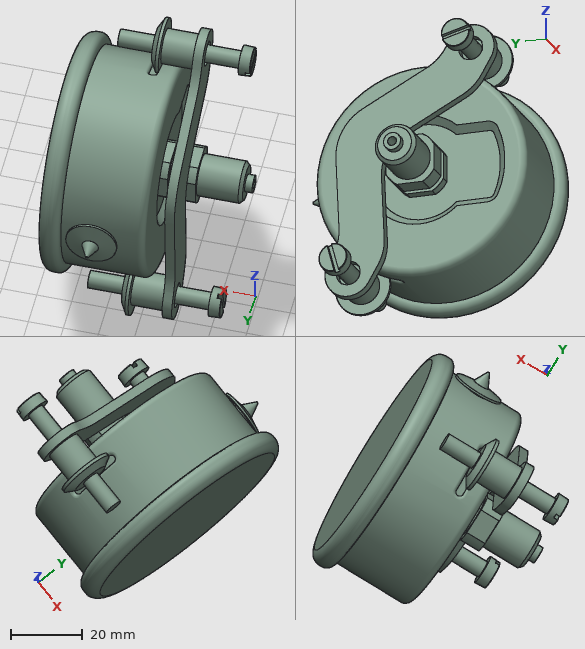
import cadquery as cq
import math


case_radius = 62.0 / 2
case_back_fillet = 1.95
bezel_radius = 68.0 / 2
bezel_back_x = 23.8
bezel_front_x = 30.0
bezel_back_fillet = 2.1
bezel_front_fillet = 3.05

recess_depth = 2.0
recess_hub_radius = 16.1
recess_slot_half_width = 12.0
recess_slot_end_radius = 24.8
recess_corner_radius = 3.5
recess_wall_angle = 45.0
recess_neck_radius = 0.6

stem_radius = 12.0 / 2
stem_chamfer = 1.0
stem_end_x = -21.85
tip_radius = 5.0 / 2
tip_end_x = -24.0
bore_diameter = 2.6
bore_depth = 9.4
nut_across_flats = 14.1
nut_corner_radius = 8.0
nut_back_x = -8.9
nut_front_x = -3.0
collar_back_x = -0.95

plug_x = 15.05
plug_stem_radius = 11.0 / 2
plug_stem_depth = 3.1
plug_disc_radius = 14.5 / 2
plug_rim_height = 0.6
plug_dome_height = 1.7
plug_cone_radius = 2.35
plug_point_radius = 0.6 / 2
plug_point_y = 36.75

screw_line_angle = 60.0
screw_along = 72.0 / 2
screw_out = 1.1
plate_back_x = -6.6
plate_front_x = -3.8
tab_radius = 6.9
arm_angle = 32.5
arm_width = 13.1
arm_inner_out = 11.05
bend_radius = 13.7
nose_radius = 14.8
plate_hole_diameter = 7.0

shank_radius = 5.0 / 2
shank_end_x = 18.5
head_back_radius = 8.2 / 2
head_front_radius = 8.55 / 2
head_back_x = -19.7
head_front_x = -16.4
head_chamfer = 0.15
driver_slot_width = 1.3
driver_slot_depth = 1.3
driver_slot_angle = 45.0
spacer_radius = 10.0 / 2
disc_radius = 8.0
disc_back_x = 5.6
disc_rim_width = 0.95
disc_front_x = 8.15
disc_front_radius = 5.2

case_slot_x = 7.05
case_slot_length = 15.9
case_slot_width = 2.2
case_slot_floor_radius = 60.0 / 2
case_slot_mouth_fillet = 0.95

screw_direction = cq.Vector(
    0, -math.cos(math.radians(screw_line_angle)), math.sin(math.radians(screw_line_angle))
)
SIDES = (1, -1)


def back_plane(x):
    """Plane across the gauge axis, facing -X, with local axes (along, out)."""
    return cq.Plane(origin=(x, 0, 0), xDir=screw_direction.toTuple(), normal=(-1, 0, 0))


def turned(points):
    """Solid of revolution about the X axis from an outline of (x, radius) points."""
    return cq.Workplane("XY").polyline(points).close().revolve(360, (0, 0, 0), (1, 0, 0))


def nut_block(back_x, front_x):
    """Square block whose corners are turned round."""
    length = front_x - back_x
    back_face = cq.Workplane("YZ", origin=(back_x, 0, 0))
    square = back_face.rect(nut_across_flats, nut_across_flats).extrude(length)
    blank = back_face.circle(nut_corner_radius).extrude(length)
    return square.intersect(blank)


def make_stem():
    body = turned([
        (tip_end_x, 0),
        (tip_end_x, tip_radius),
        (stem_end_x, tip_radius),
        (stem_end_x, stem_radius - stem_chamfer),
        (stem_end_x + stem_chamfer, stem_radius),
        (recess_depth, stem_radius),
        (recess_depth, 0),
    ])
    body = body.union(nut_block(nut_back_x, nut_front_x))
    body = body.union(nut_block(collar_back_x, recess_depth))
    bore = cq.Workplane("YZ", origin=(tip_end_x, 0, 0)).circle(bore_diameter / 2).extrude(bore_depth)
    return body.cut(bore)


def make_recess():
    """Keyhole pocket: a round hub with a slot towards -Y that ends on an arc."""
    corner_z = recess_slot_half_width - recess_corner_radius
    corner_reach = recess_slot_end_radius - recess_corner_radius
    corner_y = -math.sqrt(corner_reach**2 - corner_z**2)
    end_angle = math.atan2(corner_z, corner_y)
    middle_angle = (math.pi / 2 + end_angle) / 2
    middle_y = corner_y + recess_corner_radius * math.cos(middle_angle)
    middle_z = corner_z + recess_corner_radius * math.sin(middle_angle)
    end_y = recess_slot_end_radius * math.cos(end_angle)
    end_z = recess_slot_end_radius * math.sin(end_angle)
    slot = (
        cq.Workplane("YZ")
        .moveTo(0, -recess_slot_half_width)
        .lineTo(0, recess_slot_half_width)
        .lineTo(corner_y, recess_slot_half_width)
        .threePointArc((middle_y, middle_z), (end_y, end_z))
        .threePointArc((-recess_slot_end_radius, 0), (end_y, -end_z))
        .threePointArc((middle_y, -middle_z), (corner_y, -recess_slot_half_width))
        .close()
        .extrude(recess_depth, taper=recess_wall_angle)
    )
    hub = cq.Workplane("YZ").circle(recess_hub_radius).extrude(recess_depth, taper=recess_wall_angle)
    recess = hub.union(slot)
    neck_y = -math.sqrt(recess_hub_radius**2 - recess_slot_half_width**2)
    neck_z = recess_slot_half_width - recess_depth / 2
    for side in SIDES:
        neck_edge = cq.selectors.NearestToPointSelector((recess_depth / 2, neck_y, side * neck_z))
        recess = recess.edges(neck_edge).fillet(recess_neck_radius)
    return recess


def cut_case_slot(case, side):
    """Cut a slot along the case wall under one clamp disc and round its mouth."""
    outward = screw_direction * side
    slot = (
        cq.Workplane(cq.Plane(origin=(case_slot_x, 0, 0), xDir=(1, 0, 0), normal=outward.toTuple()))
        .slot2D(case_slot_length, case_slot_width, 90)
        .extrude(bezel_radius)
    )
    core = cq.Workplane("YZ").circle(case_slot_floor_radius).extrude(bezel_back_x)
    case = case.cut(slot.cut(core))
    mouth_edge = cq.Vector(case_slot_x + case_slot_width / 2, 0, 0) + outward * case_radius
    nearest_edge = cq.selectors.NearestToPointSelector(mouth_edge.toTuple())
    return case.edges(nearest_edge).fillet(case_slot_mouth_fillet)


def make_gauge():
    case = turned([(0, 0), (0, case_radius), (bezel_front_x, case_radius), (bezel_front_x, 0)])
    case = case.faces("<X").edges().fillet(case_back_fillet)
    for side in SIDES:
        case = cut_case_slot(case, side)
    bezel = turned([
        (bezel_back_x, 0), (bezel_back_x, bezel_radius), (bezel_front_x, bezel_radius), (bezel_front_x, 0),
    ])
    bezel = bezel.faces("<X").edges().fillet(bezel_back_fillet)
    bezel = bezel.faces(">X").edges().fillet(bezel_front_fillet)
    return case.union(bezel).cut(make_recess()).union(make_stem())


def make_plug():
    seat = case_radius
    outline = [
        (0, seat - plug_stem_depth),
        (plug_stem_radius, seat - plug_stem_depth),
        (plug_stem_radius, seat),
        (plug_disc_radius, seat),
        (plug_disc_radius, seat + plug_rim_height),
        (plug_cone_radius, seat + plug_dome_height),
        (plug_point_radius, plug_point_y),
        (0, plug_point_y),
    ]
    profile = cq.Workplane("XY").polyline(outline).close()
    return profile.revolve(360, (0, 0, 0), (0, 1, 0)).translate((plug_x, 0, 0))


def round_plate_corners(plate, corners, radius):
    """Round the plate corners at the given (along, out) points."""
    middle = back_plane((plate_back_x + plate_front_x) / 2)
    for corner in corners:
        nearest_edge = cq.selectors.NearestToPointSelector(middle.toWorldCoords(corner).toTuple())
        plate = plate.edges(nearest_edge).fillet(radius)
    return plate


def make_plate():
    slope = math.tan(math.radians(arm_angle))
    arm_outer_out = arm_inner_out + arm_width / math.cos(math.radians(arm_angle))
    length = plate_front_x - plate_back_x
    tab_outer = screw_out + tab_radius
    tab_inner = screw_out - tab_radius
    outer_bend = (arm_outer_out - tab_outer) / slope
    inner_bend = (arm_inner_out - tab_inner) / slope
    plate = (
        cq.Workplane(back_plane(plate_front_x))
        .moveTo(0, arm_outer_out)
        .lineTo(outer_bend, tab_outer)
        .lineTo(screw_along, tab_outer)
        .threePointArc((screw_along + tab_radius, screw_out), (screw_along, tab_inner))
        .lineTo(inner_bend, tab_inner)
        .lineTo(0, arm_inner_out)
        .lineTo(-inner_bend, tab_inner)
        .lineTo(-screw_along, tab_inner)
        .threePointArc((-screw_along - tab_radius, screw_out), (-screw_along, tab_outer))
        .lineTo(-outer_bend, tab_outer)
        .close()
        .extrude(length)
    )

    plate = round_plate_corners(plate, [(0, arm_outer_out)], nose_radius)
    bends = [(0, arm_inner_out)]
    for side in SIDES:
        bends += [(side * outer_bend, tab_outer), (side * inner_bend, tab_inner)]
    plate = round_plate_corners(plate, bends, bend_radius)
    holes = (
        cq.Workplane(back_plane(plate_front_x))
        .pushPoints([(side * screw_along, screw_out) for side in SIDES])
        .circle(plate_hole_diameter / 2)
        .extrude(length)
    )
    return plate.cut(holes)


def make_clamp(side):
    """Screw, spacer and clamp disc on one axis."""
    hardware = turned([
        (head_back_x, 0),
        (head_back_x, head_back_radius - head_chamfer),
        (head_back_x + head_chamfer, head_back_radius),
        (head_front_x, head_front_radius),
        (head_front_x, shank_radius),
        (plate_front_x, shank_radius),
        (plate_front_x, spacer_radius),
        (disc_back_x, spacer_radius),
        (disc_back_x, disc_radius),
        (disc_back_x + disc_rim_width, disc_radius),
        (disc_front_x, disc_front_radius),
        (disc_front_x, shank_radius),
        (shank_end_x, shank_radius),
        (shank_end_x, 0),
    ])
    driver_slot_length = 2 * head_front_radius
    driver_slot = (
        cq.Workplane(back_plane(head_back_x))
        .transformed(rotate=(0, 0, -side * driver_slot_angle))
        .rect(driver_slot_length, driver_slot_width)
        .extrude(-driver_slot_depth)
    )
    centre = back_plane(0).toWorldCoords((side * screw_along, screw_out))
    return hardware.cut(driver_slot).translate(centre)


def make_bracket():
    bracket = make_plate()
    for side in SIDES:
        bracket = bracket.union(make_clamp(side))
    return bracket


plug = make_plug()
bracket = make_bracket()
gauge = make_gauge().cut(plug).cut(bracket)

result = cq.Compound.makeCompound([gauge.val(), plug.val(), bracket.val()])